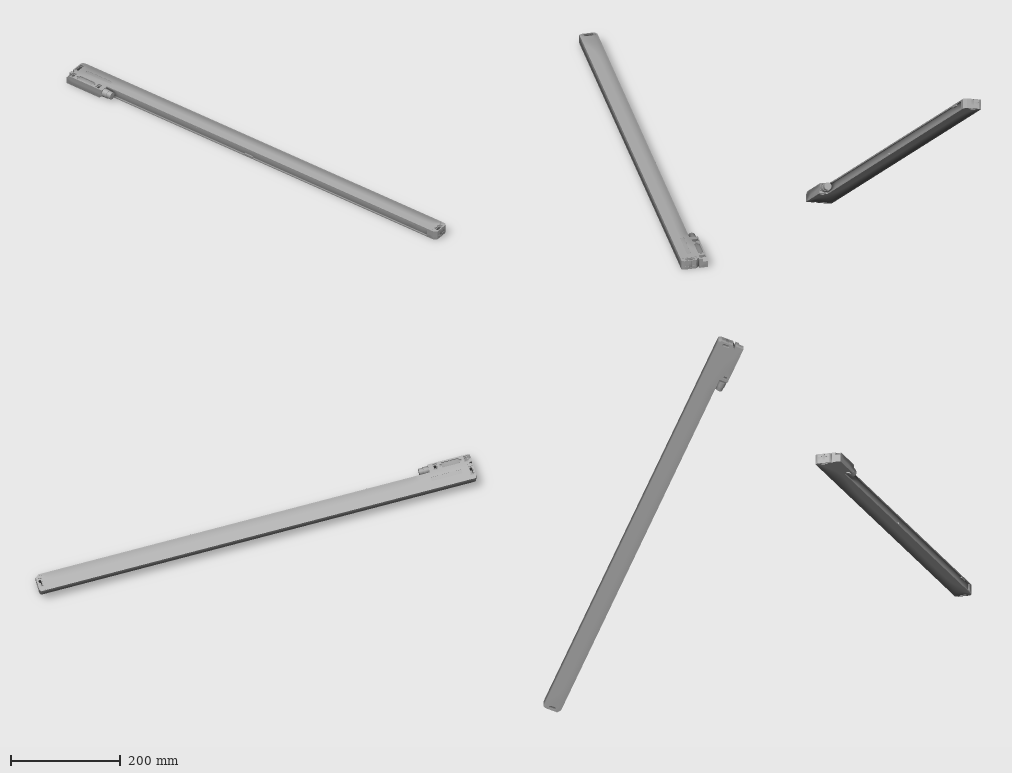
import cadquery as cq

length = 825.0
height = 18.0
connector_depth = 16.0
bar_depth = 33.0

bar_front = connector_depth
bar_back = bar_front + bar_depth
bar_middle = bar_front + bar_depth / 2
corner_depth = 5.0
front_corner_length = 7.0
back_corner_length = 2.5
channel_end_gap = 20.0
channel_rim = 2.5
channel_depth = 2.5
tab_length = 18.0
tab_height = 2.5
upper_tab_middle = 770.0
lower_tab_middle = 400.0

seat_length = 11.0
seat_drop = 0.4
seat_front_rim = 3.0
slot_inset = 6.0
slot_length = 13.0
slot_width = 5.0
counterbore_length = 17.0
counterbore_width = 7.5
counterbore_depth = 2.5
cross_groove_height = 7.0
cross_groove_length = 21.5
cross_groove_depth = 1.0
upright_groove_width = 5.0
upright_groove_height = 15.0
upright_groove_depth = 2.0

label_start = 23.0
label_length = 58.0
label_front_inset = 10.0
label_width = 7.5
label_depth = 0.4

connector_middle = connector_depth / 2
block_length = 75.0
flange_length = 5.0
flange_bottom = 5.0
flange_end = block_length + flange_length
gland_length = 10.0
gland_radius = connector_depth / 2
spigot_length = 8.0
spigot_radius = 7.0
corner_cut = 6.0
corner_cut_width = 9.0

recess_middle = 39.0
pocket_length = 33.0
pocket_width = 10.0
pocket_depth = 2.5
slit_length = 41.0
slit_width = 4.0
window_offset = 29.0
window_length = 8.0
window_width = 11.5
window_depth = 2.5
hole_length = 5.0
hole_width = 7.0
blind_hole_depth = 5.0


def block(x, y, z, dx, dy, dz):
    """Block with its lowest corner at x, y, z."""
    return cq.Workplane("XY").box(dx, dy, dz, centered=False).translate((x, y, z))


def bar_blank():
    """Long bar with its four upright corners cut."""
    outline = [
        (front_corner_length, bar_front),
        (length - front_corner_length, bar_front),
        (length, bar_front + corner_depth),
        (length, bar_back - corner_depth),
        (length - back_corner_length, bar_back),
        (back_corner_length, bar_back),
        (0, bar_back - corner_depth),
        (0, bar_front + corner_depth),
    ]
    return cq.Workplane("XY").polyline(outline).close().extrude(height)


def front_channel():
    """Recess along the front face, narrowed by one tab on each rim."""
    recess = block(
        channel_end_gap, bar_front, channel_rim,
        length - 2 * channel_end_gap, channel_depth, height - 2 * channel_rim,
    )
    upper_tab_bottom = height - channel_rim - tab_height
    for middle, bottom in ((upper_tab_middle, upper_tab_bottom), (lower_tab_middle, channel_rim)):
        tab = block(middle - tab_length / 2, bar_front, bottom, tab_length, channel_depth, tab_height)
        recess = recess.cut(tab)
    return recess


def end_seat():
    """Lowered top of the end at x = 0."""
    seat_front = bar_front + seat_front_rim
    return block(0, seat_front, height - seat_drop, seat_length, bar_back - seat_front, seat_drop)


def mounting_slot():
    """Counterbored slot through the end at x = 0."""
    slot = (
        cq.Workplane("XY").center(slot_inset, bar_middle)
        .slot2D(slot_length, slot_width, 90).extrude(height)
    )
    counterbore = (
        cq.Workplane("XY", origin=(slot_inset, bar_middle, height - counterbore_depth))
        .rect(counterbore_width, counterbore_length).extrude(counterbore_depth)
    )
    return slot.union(counterbore)


def end_grooves():
    """Two crossing grooves in the end face at x = 0."""
    cross = block(
        0, bar_middle - cross_groove_length / 2, (height - cross_groove_height) / 2,
        cross_groove_depth, cross_groove_length, cross_groove_height,
    )
    upright = block(
        0, bar_middle - upright_groove_width / 2, (height - upright_groove_height) / 2,
        upright_groove_depth, upright_groove_width, upright_groove_height,
    )
    return cross.union(upright)


def label_recess():
    return block(
        label_start, bar_front + label_front_inset, height - label_depth,
        label_length, label_width, label_depth,
    )


def make_bar():
    body = bar_blank().cut(front_channel()).cut(label_recess())
    for feature in (end_seat(), mounting_slot(), end_grooves()):
        opposite = feature.mirror("YZ", (length / 2, 0, 0))
        body = body.cut(feature).cut(opposite)
    return body


def connector_blank():
    """Block with a flange and a stepped round cable gland on its +X end."""
    body = block(0, 0, 0, block_length, connector_depth, height)
    flange = block(
        block_length, 0, flange_bottom,
        flange_length, connector_depth, height - flange_bottom,
    )
    gland = (
        cq.Workplane("YZ", origin=(flange_end, connector_middle, height / 2))
        .circle(gland_radius).extrude(gland_length)
        .faces(">X").workplane().circle(spigot_radius).extrude(spigot_length)
    )
    return body.union(flange).union(gland)


def front_corner_cut():
    """Sloped cut on the upper -X edge, at its front part only."""
    return (
        cq.Workplane("XZ").moveTo(0, height).lineTo(corner_cut, height)
        .lineTo(0, height - corner_cut).close().extrude(-corner_cut_width)
    )


def top_recess(middle, recess_length, width, depth):
    """Rectangular recess in the top face, centred across the connector."""
    return block(
        middle - recess_length / 2, connector_middle - width / 2, height - depth,
        recess_length, width, depth,
    )


def make_connector():
    body = connector_blank().cut(front_corner_cut())
    body = body.cut(top_recess(recess_middle, pocket_length, pocket_width, pocket_depth))
    body = body.cut(top_recess(recess_middle, slit_length, slit_width, pocket_depth))
    for side, hole_depth in ((-1, blind_hole_depth), (1, height)):
        middle = recess_middle + side * window_offset
        body = body.cut(top_recess(middle, window_length, window_width, window_depth))
        body = body.cut(top_recess(middle, hole_length, hole_width, hole_depth))
    return body


bar = make_bar()
connector = make_connector()
result = cq.Compound.makeCompound([bar.val(), connector.val()])